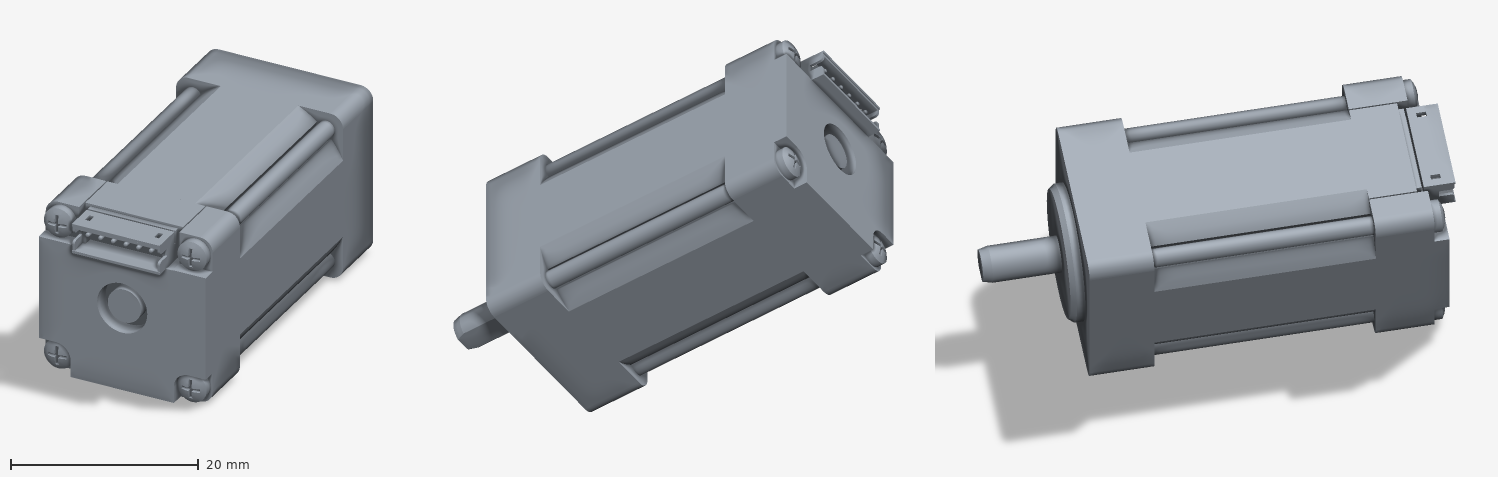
import cadquery as cq
import math


shaft_projection = 10.0
front_length = 7.0
stator_length = 24.0
rear_length = 8.0
connector_overhang = 1.5

stator_front_y = -front_length
rear_joint_y = stator_front_y - stator_length
rear_face_y = rear_joint_y - rear_length
connector_end_y = rear_face_y - connector_overhang

side = 20.0
half_side = side / 2
corner_radius = 1.5
pilot_diameter = 15.0
pilot_height = 1.5
pilot_chamfer_length = 0.6
pilot_chamfer_radial = 0.45

stator_flat_half = 4.65
stator_corner_radius = math.hypot(half_side, stator_flat_half)
rod_groove_diameter = 2.5

screw_spacing = 16.0
screw_offset = screw_spacing / 2
screw_diameter = 2.0
screw_engagement = 4.0
head_diameter = 3.5
head_height = 0.9
dome_height = 0.55
cross_length = 2.2
cross_width = 0.4
cross_depth = 0.6

shaft_diameter = 4.0
shaft_tip_diameter = 3.5
shaft_taper_length = 1.0
flat_distance = 1.5
flat_length = 7.0
shaft_end_recess = 0.5
bearing_recess_diameter = 6.0
bearing_recess_depth = 2.0

seat_depth = 1.6
seat_radius = 1.8
seat_y = rear_face_y + seat_depth
seat_inner = screw_offset - seat_radius
pocket_floor_z = seat_inner - 0.05
pocket_width = 12.0
lid_width = 11.7
lid_thickness = 1.2
lid_length = 5.2
lid_end_y = rear_joint_y - lid_length

connector_width = 10.5
connector_top_z = half_side - 0.3
connector_bottom_z = pocket_floor_z
connector_flange = 0.6
groove_width = 0.25
groove_depth = 1.5
plate_thickness = 0.3
cavity_top_wall = 0.6
cavity_bottom_z = connector_bottom_z + plate_thickness
cavity_top_z = connector_top_z - cavity_top_wall
cavity_width = 9.9
cavity_depth = 1.95
inner_cavity_width = 9.25
inner_cavity_depth = 3.05
side_wall_setback = 0.1
side_slot_top_z = connector_top_z - 1.2
side_slot_bottom_z = connector_top_z - 2.1
side_slot_depth = 1.8
side_slot_mouth_radius = 0.4
window_width = 0.55
window_length = 1.05
window_center_x = 4.15
window_center_y = rear_face_y + 0.45
pin_count = 6
pin_pitch = 1.5
pin_diameter = 0.5
pin_z = connector_top_z - 1.4
pin_end_y = connector_end_y + 0.65
pin_tip_radius = 0.2
pin_root = 0.25


def box(x_min, x_max, y_min, y_max, z_min, z_max):
    """Box given by its limits."""
    return (
        cq.Workplane("XY")
        .box(x_max - x_min, y_max - y_min, z_max - z_min, centered=False)
        .translate((x_min, y_min, z_min))
    )


def centered_box(width, y_min, y_max, z_min, z_max):
    """Box centred on X = 0."""
    return box(-width / 2, width / 2, y_min, y_max, z_min, z_max)


def rod(diameter, y_start, y_end, x=0, z=0):
    """Cylinder along Y from y_start down to y_end."""
    return (
        cq.Workplane("XZ", origin=(x, y_start, z))
        .circle(diameter / 2)
        .extrude(y_start - y_end)
    )


def square_block(y_start, y_end):
    """Cover block with rounded long edges."""
    return (
        cq.Workplane("XZ", origin=(0, y_start, 0))
        .rect(side, side)
        .extrude(y_start - y_end)
        .edges("|Y")
        .fillet(corner_radius)
    )


def screw_places():
    """The four screw centres as (x, z)."""
    return [(x, z) for x in (-screw_offset, screw_offset) for z in (-screw_offset, screw_offset)]


def make_front_cover():
    pilot_radius = pilot_diameter / 2
    pilot = (
        cq.Workplane("XY")
        .polyline([
            (0, 0),
            (pilot_radius, 0),
            (pilot_radius, pilot_height - pilot_chamfer_length),
            (pilot_radius - pilot_chamfer_radial, pilot_height),
            (0, pilot_height),
        ])
        .close()
        .revolve(360, (0, 0, 0), (0, 1, 0))
    )
    cover = square_block(0, stator_front_y).union(pilot)
    cover = cover.cut(rod(shaft_diameter, pilot_height, stator_front_y))
    for x, z in screw_places():
        cover = cover.cut(rod(screw_diameter, stator_front_y + screw_engagement, stator_front_y, x, z))
    return cover


def make_stator():
    stator = (
        cq.Workplane("XZ", origin=(0, stator_front_y, 0))
        .rect(side, side)
        .extrude(stator_length)
        .intersect(rod(2 * stator_corner_radius, stator_front_y, rear_joint_y))
        .cut(rod(shaft_diameter, stator_front_y, rear_joint_y))
    )
    for x, z in screw_places():
        stator = stator.cut(rod(rod_groove_diameter, stator_front_y, rear_joint_y, x, z))
    return stator


def bottom_seat(side_sign):
    """Corner recess for a lower screw head, rounded around the screw on its inner corner."""
    outer = side_sign * side
    inner = side_sign * seat_inner
    return (
        cq.Workplane("XZ", origin=(0, seat_y, 0))
        .moveTo(outer, -side)
        .lineTo(inner, -side)
        .lineTo(inner, -screw_offset)
        .radiusArc((side_sign * screw_offset, -seat_inner), side_sign * seat_radius)
        .lineTo(outer, -seat_inner)
        .close()
        .extrude(seat_depth)
    )


def make_rear_cover():
    cover = square_block(rear_joint_y, rear_face_y)
    cover = cover.cut(centered_box(side, rear_face_y, seat_y, seat_inner, half_side))
    for side_sign in (-1, 1):
        cover = cover.cut(bottom_seat(side_sign))
    cover = cover.cut(
        centered_box(pocket_width, lid_end_y, rear_joint_y, half_side - lid_thickness, half_side)
    )
    cover = cover.cut(centered_box(pocket_width, rear_face_y, lid_end_y, pocket_floor_z, half_side))
    cover = cover.cut(rod(shaft_diameter, rear_joint_y, rear_face_y))
    cover = cover.cut(rod(bearing_recess_diameter, rear_face_y + bearing_recess_depth, rear_face_y))
    for x, z in screw_places():
        cover = cover.cut(rod(screw_diameter, rear_joint_y, rear_face_y, x, z))
    return cover


def make_lid():
    return centered_box(lid_width, lid_end_y, rear_joint_y, half_side - lid_thickness, half_side)


def make_shaft():
    radius = shaft_diameter / 2
    tip_radius = shaft_tip_diameter / 2
    end_y = rear_face_y + shaft_end_recess
    shaft = (
        cq.Workplane("XY")
        .polyline([
            (0, end_y),
            (radius, end_y),
            (radius, shaft_projection - shaft_taper_length),
            (tip_radius, shaft_projection),
            (0, shaft_projection),
        ])
        .close()
        .revolve(360, (0, 0, 0), (0, 1, 0))
    )
    flat = centered_box(
        shaft_diameter, shaft_projection - flat_length, shaft_projection, -shaft_diameter, -flat_distance
    )
    return shaft.cut(flat)


def make_screw(x, z):
    head_radius = head_diameter / 2
    shank_radius = screw_diameter / 2
    dome_base_y = seat_y - head_height
    dome_top_y = dome_base_y - dome_height
    dome_radius = (head_radius**2 + dome_height**2) / (2 * dome_height)
    shank_end_y = stator_front_y + screw_engagement
    screw = (
        cq.Workplane("XY")
        .moveTo(0, shank_end_y)
        .lineTo(shank_radius, shank_end_y)
        .lineTo(shank_radius, seat_y)
        .lineTo(head_radius, seat_y)
        .lineTo(head_radius, dome_base_y)
        .radiusArc((0, dome_top_y), dome_radius)
        .close()
        .revolve(360, (0, 0, 0), (0, 1, 0))
    )
    for width, height in ((cross_length, cross_width), (cross_width, cross_length)):
        screw = screw.cut(
            centered_box(width, dome_top_y, dome_top_y + cross_depth, -height / 2, height / 2)
        )
    return screw.translate((x, 0, z))


def make_side_slot():
    """Slot through both side walls, rounded at its mouth where the walls stop short of the plates."""
    wall_end_y = connector_end_y + side_wall_setback
    mouth_y = wall_end_y + side_slot_mouth_radius
    slot_end_y = connector_end_y + side_slot_depth
    return (
        cq.Workplane("YZ", origin=(-connector_width / 2, 0, 0))
        .moveTo(slot_end_y, side_slot_bottom_z)
        .lineTo(mouth_y, side_slot_bottom_z)
        .radiusArc((wall_end_y, side_slot_bottom_z - side_slot_mouth_radius), -side_slot_mouth_radius)
        .lineTo(wall_end_y, cavity_bottom_z)
        .lineTo(connector_end_y, cavity_bottom_z)
        .lineTo(connector_end_y, connector_top_z - plate_thickness)
        .lineTo(wall_end_y, connector_top_z - plate_thickness)
        .lineTo(wall_end_y, side_slot_top_z + side_slot_mouth_radius)
        .radiusArc((mouth_y, side_slot_top_z), -side_slot_mouth_radius)
        .lineTo(slot_end_y, side_slot_top_z)
        .close()
        .extrude(connector_width)
    )


def make_connector():
    body = centered_box(
        connector_width, connector_end_y, lid_end_y, connector_bottom_z, connector_top_z
    )
    groove_y = lid_end_y - connector_flange
    groove_bottom_z = connector_top_z - groove_depth
    body = body.cut(
        centered_box(connector_width, groove_y - groove_width, groove_y, groove_bottom_z, connector_top_z)
    )
    for width, depth in ((cavity_width, cavity_depth), (inner_cavity_width, inner_cavity_depth)):
        body = body.cut(
            centered_box(width, connector_end_y, connector_end_y + depth, cavity_bottom_z, cavity_top_z)
        )
    body = body.cut(make_side_slot())
    for x in (-window_center_x, window_center_x):
        body = body.cut(
            box(
                x - window_width / 2, x + window_width / 2,
                window_center_y - window_length / 2, window_center_y + window_length / 2,
                cavity_top_z, connector_top_z,
            )
        )
    floor_y = connector_end_y + inner_cavity_depth
    for i in range(pin_count):
        x = (i - (pin_count - 1) / 2) * pin_pitch
        pin = rod(pin_diameter, floor_y + pin_root, pin_end_y, x, pin_z)
        body = body.union(pin.faces("<Y").edges().fillet(pin_tip_radius))
    return body


front_cover = make_front_cover()
stator = make_stator()
rear_cover = make_rear_cover()
lid = make_lid()
shaft = make_shaft()
connector = make_connector()
screws = [make_screw(x, z) for x, z in screw_places()]

result = cq.Compound.makeCompound([
    front_cover.val(),
    stator.val(),
    rear_cover.val(),
    lid.val(),
    shaft.val(),
    connector.val(),
    *[screw.val() for screw in screws],
])